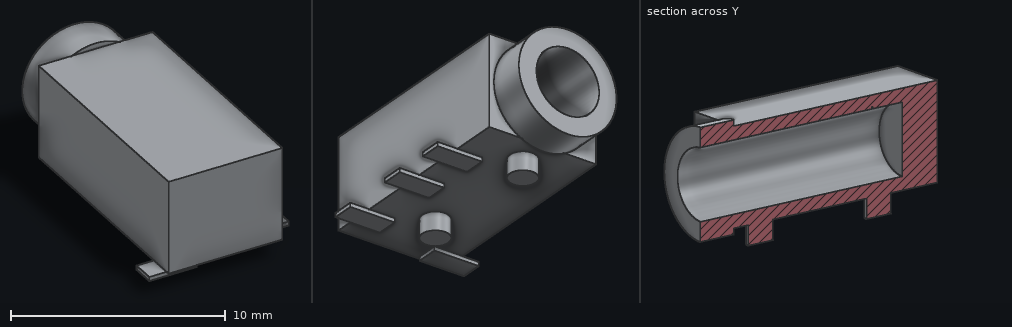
import cadquery as cq

total_length = 14.1
collar_length = 2.0
collar_diameter = 5.6
bore_diameter = 3.6
bore_depth = 11.98

body_length = total_length - collar_length
body_width = 6.12
body_height = 4.99
body_bottom = -body_height / 2

pin_diameter = 1.5
pin_length = 1.0
pin_positions = (3.6, 10.62)

tab_width = 1.2
tab_thickness = 0.23
tab_length = 2.54
left_tab_tip = 4.19
short_left_tab_tip = 4.15
right_tab_tip = -3.99
left_tab_starts = (4.55, 7.6)
short_left_tab_start = 11.62
right_tab_start = 12.72


def make_tab(x_start, y_start):
    """Return a tab whose lowest X and Y corner is at the given place."""
    return (
        cq.Workplane("XY")
        .box(tab_width, tab_length, tab_thickness, centered=False)
        .translate((x_start, y_start, body_bottom - tab_thickness))
    )


body = (
    cq.Workplane("YZ")
    .workplane(offset=collar_length)
    .rect(body_width, body_height)
    .extrude(body_length)
)
collar = cq.Workplane("YZ").circle(collar_diameter / 2).extrude(collar_length)
result = body.union(collar)

bore = cq.Workplane("YZ").circle(bore_diameter / 2).extrude(bore_depth)
result = result.cut(bore)

pins = (
    cq.Workplane("XY")
    .workplane(offset=body_bottom)
    .pushPoints([(x, 0) for x in pin_positions])
    .circle(pin_diameter / 2)
    .extrude(-pin_length)
)
result = result.union(pins)

for x_start in left_tab_starts:
    result = result.union(make_tab(x_start, left_tab_tip - tab_length))
result = result.union(make_tab(short_left_tab_start, short_left_tab_tip - tab_length))
result = result.union(make_tab(right_tab_start, right_tab_tip))